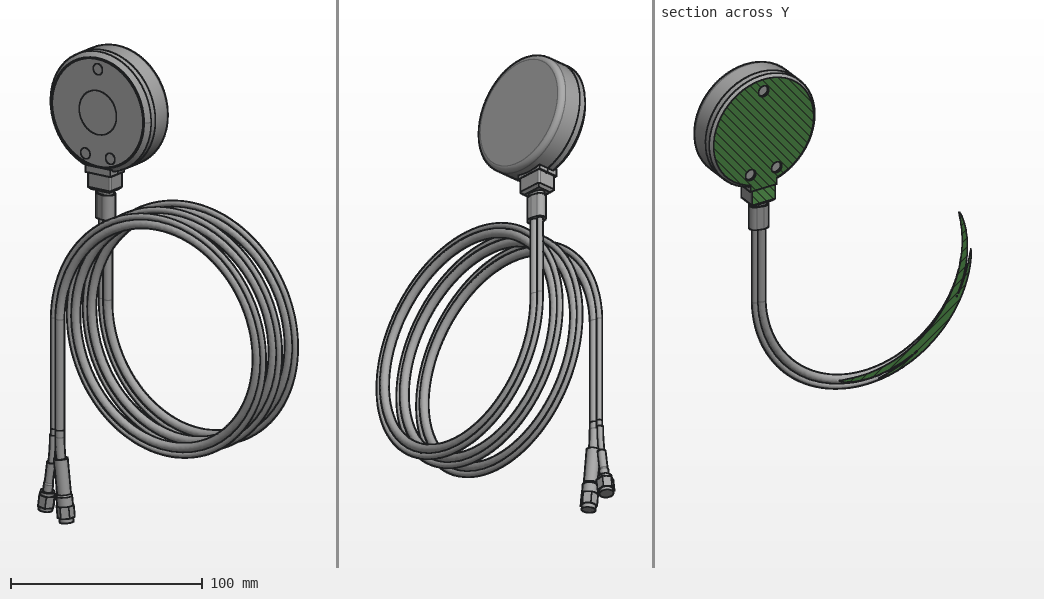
import cadquery as cq
import math


DISC_RADIUS = 32.5
DISC_THICKNESS = 20.0
COVER_THICKNESS = 13.25
BACK_FILLET = 3.0
FRONT_CHAMFER = 2.6
PAD_GAP = 0.6
PAD_THICKNESS = 0.4
PAD_RADIUS = DISC_RADIUS - FRONT_CHAMFER - PAD_GAP

SCREW_HOLE_RADIUS = 3.0
SCREW_HOLE_DEPTH = 2.0
SCREW_HOLE_HEIGHT = 23.7
LOWER_HOLE_X = 8.0
SCREW_HOLE_CENTRES = [
    (0, SCREW_HOLE_HEIGHT),
    (-LOWER_HOLE_X, -SCREW_HOLE_HEIGHT),
    (LOWER_HOLE_X, -SCREW_HOLE_HEIGHT),
]
CENTRE_RADIUS = 12.0
CENTRE_RECESS_DEPTH = 0.3

CABLE_X = 0.25
CABLE_Y = -13.2
THICK_RADIUS = 2.5
THIN_RADIUS = 1.6
CABLE_OVERLAP = 0.2
CABLE_WIDTH = 2 * (THICK_RADIUS + THIN_RADIUS) - CABLE_OVERLAP
THIN_X = CABLE_X - CABLE_WIDTH / 2 + THIN_RADIUS
THICK_X = CABLE_X + CABLE_WIDTH / 2 - THICK_RADIUS

COIL_RADIUS = 62.5
COIL_Z = -102.85
COIL_TURNS = 3
COIL_DEPTH = 42.5
COIL_PITCH = COIL_DEPTH / COIL_TURNS
TAIL_Y = CABLE_Y - COIL_DEPTH
TAIL_LENGTH = 60.7

EXIT_WIDTH = 16.2
EXIT_BACK_Y = -7.3
EXIT_FRONT_Y = -19.6
EXIT_BOTTOM_Z = -33.85
BOOT_WIDTH = 14.8
BOOT_DEPTH = 11.4
BOOT_CORNER = 1.0
BLOCK_BOTTOM_Z = -43.4
BLOCK_CHAMFER = 1.6
NECK_WALL = 0.8
NECK_BOTTOM_Z = -45.5
SLEEVE_WALL = 1.55
SLEEVE_BOTTOM_Z = -59.0

BAND_LENGTH = 3.7
THICK_LEG_LENGTH = 12.0
THICK_LEG_ANGLE = 6.3
THIN_LEG_LENGTH = 15.2
THIN_LEG_ANGLE = -8.0
THIN_LEG_OFFSET = 0.6
THIN_LEG_X = THIN_X - THIN_LEG_OFFSET

HEX_ACROSS_FLATS = 8.0
HEX_ACROSS_CORNERS = HEX_ACROSS_FLATS / math.cos(math.pi / 6)
TIP_RADIUS = 3.7

THICK_SLEEVE_RADIUS = 3.7
THICK_SLEEVE_END = 19.0
THICK_COLLAR_RADIUS = 4.2
THICK_COLLAR_START = 20.2
THICK_HEX_START = 25.3
THICK_HEX_END = 31.7
THICK_HEX_TURN = 30.0
THICK_TIP_END = 34.15

THIN_SLEEVE_RADIUS = 2.2
THIN_SLEEVE_END = 11.0
THIN_FERRULE_RADIUS = 2.5
THIN_FERRULE_START = 12.0
THIN_SHOULDER_START = 16.3
THIN_HEX_START = 18.2
THIN_HEX_END = 24.7
THIN_HEX_TURN = 0.0
THIN_TIP_END = 26.8


def disc(radius, back_y, thickness):
    """A disc on the Y axis that reaches from back_y towards -Y."""
    return cq.Workplane("XZ", origin=(0, back_y, 0)).circle(radius).extrude(thickness)


def box_between(width, back_y, front_y, top_z, bottom_z):
    """A box centred on X = 0."""
    return cq.Workplane("XY").box(width, back_y - front_y, top_z - bottom_z).translate(
        (0, (back_y + front_y) / 2, (top_z + bottom_z) / 2)
    )


def twin_profile(y, z):
    """The outline of the two fused cable jackets, in a horizontal plane."""
    spacing = THICK_X - THIN_X
    joint = (spacing**2 + THIN_RADIUS**2 - THICK_RADIUS**2) / (2 * spacing)
    half = math.sqrt(THIN_RADIUS**2 - joint**2)
    joint_x = THIN_X + joint
    return (
        cq.Workplane("XY", origin=(0, y, z))
        .moveTo(joint_x, -half)
        .threePointArc((CABLE_X + CABLE_WIDTH / 2, 0), (joint_x, half))
        .threePointArc((CABLE_X - CABLE_WIDTH / 2, 0), (joint_x, -half))
        .close()
    )


def cable_sheath(wall, top_z, bottom_z):
    """A solid around the twin cable: two round ends joined by their outer tangent planes."""
    thin_end = THIN_RADIUS + wall
    thick_end = THICK_RADIUS + wall
    lean = (thick_end - thin_end) / (THICK_X - THIN_X)
    rise = math.sqrt(1 - lean**2)
    thin_tangent = (THIN_X - thin_end * lean, thin_end * rise)
    thick_tangent = (THICK_X - thick_end * lean, thick_end * rise)
    return (
        cq.Workplane("XY", origin=(0, CABLE_Y, top_z))
        .moveTo(*thin_tangent)
        .lineTo(*thick_tangent)
        .threePointArc((THICK_X + thick_end, 0), (thick_tangent[0], -thick_tangent[1]))
        .lineTo(thin_tangent[0], -thin_tangent[1])
        .threePointArc((THIN_X - thin_end, 0), thin_tangent)
        .close()
        .extrude(bottom_z - top_z)
    )


split_y = -COVER_THICKNESS
base_front_y = PAD_THICKNESS - DISC_THICKNESS


def make_cover():
    back = disc(DISC_RADIUS, 0, COVER_THICKNESS).faces(">Y").edges().fillet(BACK_FILLET)
    outlet = box_between(EXIT_WIDTH, EXIT_BACK_Y, split_y, 0, EXIT_BOTTOM_Z)
    return back.union(outlet)


def make_base():
    base = disc(DISC_RADIUS, split_y, split_y - base_front_y)
    base = base.faces("<Y").edges().chamfer(FRONT_CHAMFER)
    outlet_top_z = FRONT_CHAMFER - DISC_RADIUS
    base = base.union(box_between(EXIT_WIDTH, split_y, EXIT_FRONT_Y, outlet_top_z, EXIT_BOTTOM_Z))
    base = base.cut(disc(CENTRE_RADIUS, base_front_y + CENTRE_RECESS_DEPTH, CENTRE_RECESS_DEPTH))
    for x, z in SCREW_HOLE_CENTRES:
        hole = disc(SCREW_HOLE_RADIUS, base_front_y + SCREW_HOLE_DEPTH, SCREW_HOLE_DEPTH)
        base = base.cut(hole.translate((x, 0, z)))
    return base


def make_pad():
    return disc(PAD_RADIUS, base_front_y, PAD_THICKNESS)


def make_boot():
    block = box_between(
        BOOT_WIDTH,
        CABLE_Y + BOOT_DEPTH / 2,
        CABLE_Y - BOOT_DEPTH / 2,
        EXIT_BOTTOM_Z,
        BLOCK_BOTTOM_Z,
    )
    block = block.faces("<Z").edges().chamfer(BLOCK_CHAMFER).edges("|Z").fillet(BOOT_CORNER)
    neck = cable_sheath(NECK_WALL, BLOCK_BOTTOM_Z, NECK_BOTTOM_Z)
    sleeve = cable_sheath(SLEEVE_WALL, NECK_BOTTOM_Z, SLEEVE_BOTTOM_Z)
    return block.union(neck).union(sleeve)


def make_cable():
    lead = twin_profile(CABLE_Y, COIL_Z).extrude(SLEEVE_BOTTOM_Z - COIL_Z)
    helix = cq.Wire.makeHelix(COIL_PITCH, COIL_DEPTH, COIL_RADIUS)
    helix = helix.rotate(cq.Vector(), cq.Vector(1, 0, 0), 90)
    helix = helix.rotate(cq.Vector(), cq.Vector(0, 1, 0), 180)
    helix = helix.translate(cq.Vector(CABLE_X + COIL_RADIUS, CABLE_Y, COIL_Z))
    coil = twin_profile(CABLE_Y, COIL_Z).sweep(cq.Workplane(obj=helix), isFrenet=True)
    tail = twin_profile(TAIL_Y, COIL_Z).extrude(-TAIL_LENGTH)
    return lead.union(coil).union(tail)


band_top_z = COIL_Z - TAIL_LENGTH
band_bottom_z = band_top_z - BAND_LENGTH


def leg_point(x, length, angle):
    """The X and Z at the end of a leg of this arc length and turn; a positive angle leans to +X."""
    turn = math.radians(angle)
    bend_radius = length / turn
    return x + bend_radius * (1 - math.cos(turn)), band_bottom_z - bend_radius * math.sin(turn)


def make_leg(x, radius, length, angle):
    path = (
        cq.Workplane("XZ", origin=(0, TAIL_Y, 0))
        .moveTo(x, band_bottom_z)
        .threePointArc(leg_point(x, length / 2, angle / 2), leg_point(x, length, angle))
    )
    return cq.Workplane("XY", origin=(x, TAIL_Y, band_bottom_z)).circle(radius).sweep(path)


def make_breakout():
    band = twin_profile(TAIL_Y, band_top_z).extrude(-BAND_LENGTH)
    thick_leg = make_leg(THICK_X, THICK_RADIUS, THICK_LEG_LENGTH, THICK_LEG_ANGLE)
    thin_leg = make_leg(THIN_LEG_X, THIN_RADIUS, THIN_LEG_LENGTH, THIN_LEG_ANGLE)
    return band.union(thick_leg).union(thin_leg)


def turned(profile):
    """A round body hanging down from the origin; each profile point is (radius, distance)."""
    outline = [(0, 0)] + [(radius, -distance) for radius, distance in profile] + [(0, -profile[-1][1])]
    return cq.Workplane("XZ").polyline(outline).close().revolve(360, (0, 0, 0), (0, 1, 0))


def hex_nut(start, end, turn):
    """A hexagon on the connector axis; at turn 0 a pair of its corners points along X."""
    nut = cq.Workplane("XY", origin=(0, 0, -start)).polygon(6, HEX_ACROSS_CORNERS).extrude(start - end)
    return nut.rotate((0, 0, 0), (0, 0, 1), turn)


def place_at_leg(body, x, length, angle):
    """Tilts a hanging connector to its leg's angle and moves it to the leg's end."""
    end_x, end_z = leg_point(x, length, angle)
    return body.rotate((0, 0, 0), (0, 1, 0), -angle).translate((end_x, TAIL_Y, end_z))


def make_thick_connector():
    body = turned(
        [
            (THICK_SLEEVE_RADIUS, 0),
            (THICK_SLEEVE_RADIUS, THICK_SLEEVE_END),
            (THICK_COLLAR_RADIUS, THICK_COLLAR_START),
            (THICK_COLLAR_RADIUS, THICK_HEX_START),
            (TIP_RADIUS, THICK_HEX_START),
            (TIP_RADIUS, THICK_TIP_END),
        ]
    )
    body = body.union(hex_nut(THICK_HEX_START, THICK_HEX_END, THICK_HEX_TURN))
    return place_at_leg(body, THICK_X, THICK_LEG_LENGTH, THICK_LEG_ANGLE)


def make_thin_connector():
    body = turned(
        [
            (THIN_SLEEVE_RADIUS, 0),
            (THIN_SLEEVE_RADIUS, THIN_SLEEVE_END),
            (THIN_FERRULE_RADIUS, THIN_FERRULE_START),
            (THIN_FERRULE_RADIUS, THIN_SHOULDER_START),
            (TIP_RADIUS, THIN_SHOULDER_START),
            (TIP_RADIUS, THIN_TIP_END),
        ]
    )
    body = body.union(hex_nut(THIN_HEX_START, THIN_HEX_END, THIN_HEX_TURN))
    return place_at_leg(body, THIN_LEG_X, THIN_LEG_LENGTH, THIN_LEG_ANGLE)


cover = make_cover()
base = make_base()
pad = make_pad()
boot = make_boot()
cable = make_cable()
breakout = make_breakout()
thick_connector = make_thick_connector()
thin_connector = make_thin_connector()

result = cq.Compound.makeCompound(
    [
        cover.val(),
        base.val(),
        pad.val(),
        boot.val(),
        cable.val(),
        breakout.val(),
        thick_connector.val(),
        thin_connector.val(),
    ]
)